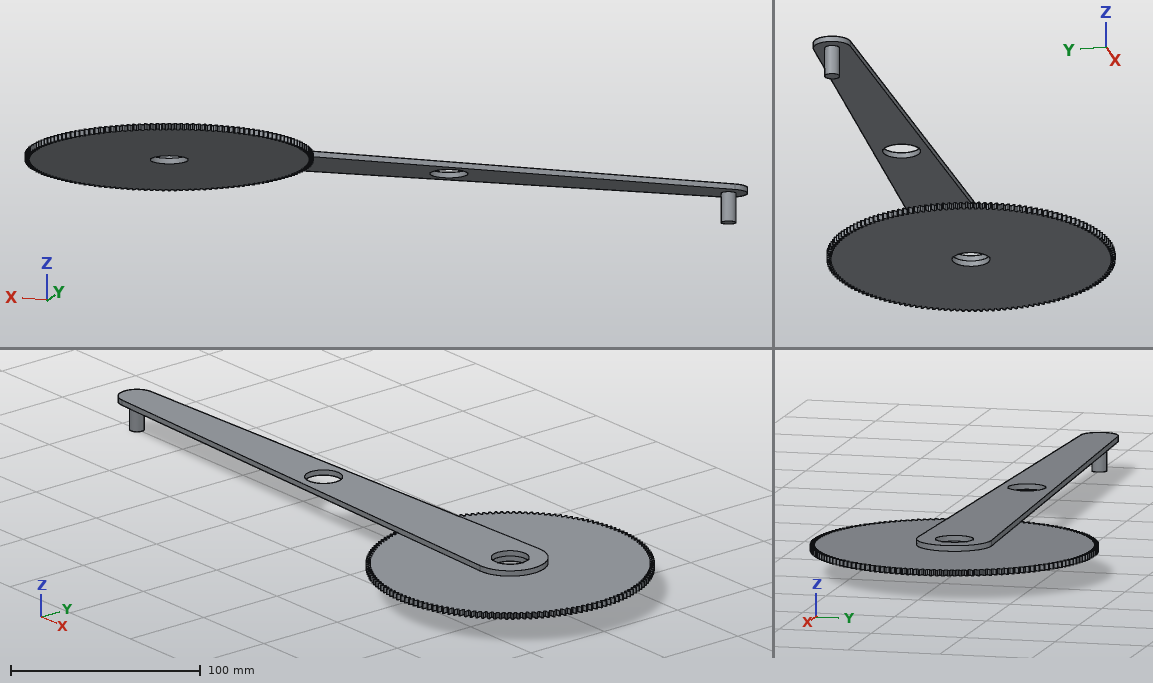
import cadquery as cq
import math

OVERALL_LENGTH = 396.0

HUB_DIAMETER = 40.0
TIP_DIAMETER = HUB_DIAMETER / 2
HOLE_DIAMETER = HUB_DIAMETER / 2
ARM_THICKNESS = 3.0

PIN_DIAMETER = 8.0
PIN_LENGTH = 16.0

TEETH = 150
GEAR_DIAMETER = 152.0
GEAR_THICKNESS = ARM_THICKNESS
PRESSURE_ANGLE = math.radians(20)
DEDENDUM_FACTOR = 1.25
TOOTH_THINNING = 0.15

MODULE = GEAR_DIAMETER / (TEETH + 2)
TIP_RADIUS = GEAR_DIAMETER / 2
PITCH_RADIUS = MODULE * TEETH / 2
ROOT_RADIUS = PITCH_RADIUS - DEDENDUM_FACTOR * MODULE
ARM_LENGTH = OVERALL_LENGTH - TIP_DIAMETER / 2 - TIP_RADIUS
BASE_RADIUS = PITCH_RADIUS * math.cos(PRESSURE_ANGLE)
TOOTH_ANGLE = 2 * math.pi / TEETH


def polar(radius, angle):
    """The X, Y point at a radius and an angle around the origin."""
    return (radius * math.cos(angle), radius * math.sin(angle))


def involute(angle):
    """Polar angle swept by an involute where its pressure angle is the given one."""
    return math.tan(angle) - angle


def tooth_half_angle(radius):
    """Half the angle an involute tooth spans at the given radius."""
    pitch_half_angle = TOOTH_ANGLE / 4 - TOOTH_THINNING / (2 * PITCH_RADIUS)
    local_pressure_angle = math.acos(BASE_RADIUS / radius)
    return pitch_half_angle + involute(PRESSURE_ANGLE) - involute(local_pressure_angle)


def tapered_outline():
    """Straight sides tangent to the tip and hub circles, closed by an arc at each end.

    The hub centre is the origin and the tip centre lies at -X.
    """
    hub_radius = HUB_DIAMETER / 2
    tip_radius = TIP_DIAMETER / 2
    tangent_angle = math.pi - math.acos((hub_radius - tip_radius) / ARM_LENGTH)
    hub_x, hub_y = polar(hub_radius, tangent_angle)
    tip_x, tip_y = polar(tip_radius, tangent_angle)
    return (
        cq.Workplane("XY")
        .moveTo(tip_x - ARM_LENGTH, tip_y)
        .lineTo(hub_x, hub_y)
        .threePointArc((hub_radius, 0), (hub_x, -hub_y))
        .lineTo(tip_x - ARM_LENGTH, -tip_y)
        .threePointArc((-ARM_LENGTH - tip_radius, 0), (tip_x - ARM_LENGTH, tip_y))
        .close()
    )


def make_arm():
    """The tapered bar with its two holes and the pin on its underside, as one solid."""
    holes = (
        cq.Workplane("XY")
        .pushPoints([(0, 0), (-ARM_LENGTH / 2, 0)])
        .circle(HOLE_DIAMETER / 2)
        .extrude(ARM_THICKNESS)
    )
    pin = cq.Workplane("XY").center(-ARM_LENGTH, 0).circle(PIN_DIAMETER / 2).extrude(-PIN_LENGTH)
    return tapered_outline().extrude(ARM_THICKNESS).cut(holes).union(pin)


def make_gear():
    """Toothed disc with a bore, whose top face touches the underside of the arm."""
    root_half = tooth_half_angle(ROOT_RADIUS)
    pitch_half = tooth_half_angle(PITCH_RADIUS)
    tip_half = tooth_half_angle(TIP_RADIUS)
    outline = cq.Workplane("XY").moveTo(*polar(ROOT_RADIUS, -root_half))
    for tooth in range(TEETH):
        middle = tooth * TOOTH_ANGLE
        outline = (
            outline
            .threePointArc(
                polar(PITCH_RADIUS, middle - pitch_half),
                polar(TIP_RADIUS, middle - tip_half),
            )
            .threePointArc(polar(TIP_RADIUS, middle), polar(TIP_RADIUS, middle + tip_half))
            .threePointArc(
                polar(PITCH_RADIUS, middle + pitch_half),
                polar(ROOT_RADIUS, middle + root_half),
            )
            .threePointArc(
                polar(ROOT_RADIUS, middle + TOOTH_ANGLE / 2),
                polar(ROOT_RADIUS, middle + TOOTH_ANGLE - root_half),
            )
        )
    bore = cq.Workplane("XY").circle(HOLE_DIAMETER / 2).extrude(-GEAR_THICKNESS)
    return outline.close().extrude(-GEAR_THICKNESS).cut(bore)


arm = make_arm()
gear = make_gear()
result = cq.Compound.makeCompound([arm.val(), gear.val()])